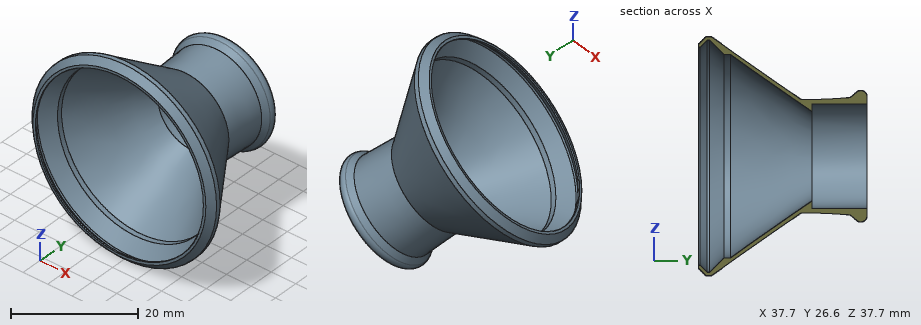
import cadquery as cq
import math

TOTAL_LENGTH = 26.57
CONE_HALF_ANGLE = math.radians(35)

RIM_RADIUS = 37.7 / 2
RIM_CHAMFER = 1.2
RIM_BAND_WIDTH = 0.85

LIP_RADIUS = 34.3 / 2
LIP_WIDTH = 0.3
GROOVE_RADIUS = 36.5 / 2
GROOVE_WIDTH = 0.4

SEAT_RADIUS = 32.0 / 2
SEAT_WIDTH = 1.0

THROAT_RADIUS = 14.0 / 2
BORE_RADIUS = 16.46 / 2

NECK_START = 16.2
NECK_END = 23.9
NECK_END_RADIUS = 9.27
BEAD_OUTER_RADIUS = 10.37
BEAD_ROUND = 1.0

cone_start = RIM_CHAMFER + RIM_BAND_WIDTH
neck_start_radius = RIM_RADIUS - (NECK_START - cone_start) * math.tan(CONE_HALF_ANGLE)
bead_center_radius = BEAD_OUTER_RADIUS - BEAD_ROUND
bead_center_y = TOTAL_LENGTH - BEAD_ROUND

groove_start = LIP_WIDTH + GROOVE_RADIUS - LIP_RADIUS
groove_end = groove_start + GROOVE_WIDTH
seat_start = groove_end + GROOVE_RADIUS - SEAT_RADIUS
seat_end = seat_start + SEAT_WIDTH
throat_y = seat_end + (SEAT_RADIUS - THROAT_RADIUS) / math.tan(CONE_HALF_ANGLE)


def bead_point(angle):
    """Point on the bead's round at an angle measured from the outward radial direction."""
    x = bead_center_radius + BEAD_ROUND * math.cos(angle)
    y = bead_center_y + BEAD_ROUND * math.sin(angle)
    return x, y


def bead_tangent_angle():
    """Angle at which a straight line from the end of the neck touches the bead's round."""
    dx = NECK_END_RADIUS - bead_center_radius
    dy = NECK_END - bead_center_y
    return math.atan2(dy, dx) + math.acos(BEAD_ROUND / math.hypot(dx, dy))


def add_outer_profile(profile):
    """Rim, cone, neck and bead, ending on the narrow end face."""
    return (
        profile
        .lineTo(RIM_RADIUS - RIM_CHAMFER, 0)
        .lineTo(RIM_RADIUS, RIM_CHAMFER)
        .lineTo(RIM_RADIUS, cone_start)
        .lineTo(neck_start_radius, NECK_START)
        .lineTo(NECK_END_RADIUS, NECK_END)
        .lineTo(*bead_point(bead_tangent_angle()))
        .threePointArc(bead_point(0), bead_point(math.pi / 2))
    )


def add_inner_profile(profile):
    """Bore, throat shoulder, inner cone, seat and snap groove, back to the lip."""
    return (
        profile
        .lineTo(BORE_RADIUS, TOTAL_LENGTH)
        .lineTo(BORE_RADIUS, throat_y)
        .lineTo(THROAT_RADIUS, throat_y)
        .lineTo(SEAT_RADIUS, seat_end)
        .lineTo(SEAT_RADIUS, seat_start)
        .lineTo(GROOVE_RADIUS, groove_end)
        .lineTo(GROOVE_RADIUS, groove_start)
        .lineTo(LIP_RADIUS, LIP_WIDTH)
        .close()
    )


lip_corner = cq.Workplane("XY").moveTo(LIP_RADIUS, 0)
wall_section = add_inner_profile(add_outer_profile(lip_corner))
result = wall_section.revolve(360, (0, 0, 0), (0, 1, 0))